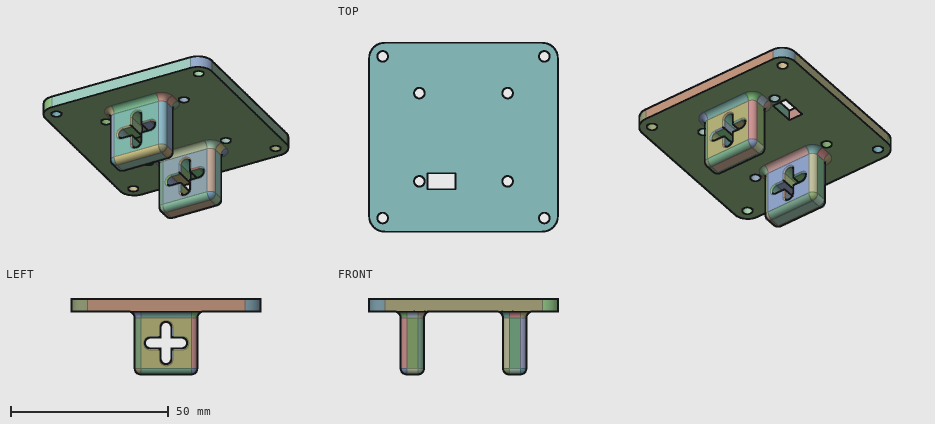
import cadquery as cq

plate_side = 60.0
plate_thickness = 4.0
plate_corner_radius = 5.0

hole_diameter = 3.3
corner_hole_pitch = 51.3
inner_hole_pitch = 28.0

window_length = 8.8
window_width = 5.0
window_x = -7.0
window_y = -inner_hole_pitch / 2

lug_thickness = 7.5
lug_width = 20.0
lug_height = 20.0
lug_gap = 25.0
lug_round = 2.0
lug_offset = (lug_gap + lug_thickness) / 2
lug_positions = (-lug_offset, lug_offset)

slot_width = 3.3
slot_center_distance = 10.0
slot_length = slot_center_distance + slot_width
slot_rim_round = 0.5
cross_z = -lug_height / 2

select_margin = 0.1


def make_plate():
    """Rounded square plate with its underside at Z = 0."""
    return (
        cq.Workplane("XY")
        .rect(plate_side, plate_side)
        .extrude(plate_thickness)
        .edges("|Z")
        .fillet(plate_corner_radius)
    )


def make_lug(x):
    """Block below the plate with rounded upright and bottom edges."""
    return (
        cq.Workplane("XY")
        .center(x, 0)
        .rect(lug_thickness, lug_width)
        .extrude(-lug_height)
        .edges("|Z or <Z")
        .fillet(lug_round)
    )


def add_lugs(body):
    """Join both lugs and blend their roots into the underside of the plate."""
    for x in lug_positions:
        body = body.union(make_lug(x))
    reach_x = lug_offset + lug_thickness / 2 + select_margin
    reach_y = lug_width / 2 + select_margin
    roots = cq.selectors.BoxSelector(
        (-reach_x, -reach_y, -select_margin),
        (reach_x, reach_y, select_margin),
        boundingbox=True,
    )
    return body.edges(roots).fillet(lug_round)


def make_cross(x):
    """Two round-ended slots crossing at right angles, as deep as the lug at x."""
    start_face = cq.Workplane("YZ", origin=(x - lug_thickness / 2, 0, cross_z))
    level_slot = start_face.slot2D(slot_length, slot_width).extrude(lug_thickness)
    upright_slot = start_face.slot2D(slot_length, slot_width, 90).extrude(lug_thickness)
    return level_slot.union(upright_slot)


def round_cross_rim(body, face_x):
    """Round the rim of the cross where it opens onto the lug face at face_x."""
    reach = slot_length / 2 + select_margin
    rim = cq.selectors.BoxSelector(
        (face_x - select_margin, -reach, cross_z - reach),
        (face_x + select_margin, reach, cross_z + reach),
        boundingbox=True,
    )
    return body.edges(rim).fillet(slot_rim_round)


def cut_crosses(body):
    """Cut the cross through each lug and round its rims on both faces."""
    for x in lug_positions:
        body = body.cut(make_cross(x))
        body = round_cross_rim(body, x - lug_thickness / 2)
        body = round_cross_rim(body, x + lug_thickness / 2)
    return body


def cut_screw_holes(body):
    """Cut both square patterns of screw holes through the plate."""
    for pitch in (corner_hole_pitch, inner_hole_pitch):
        holes = (
            cq.Workplane("XY")
            .rect(pitch, pitch, forConstruction=True)
            .vertices()
            .circle(hole_diameter / 2)
            .extrude(plate_thickness)
        )
        body = body.cut(holes)
    return body


def cut_window(body):
    """Cut the rectangular window through the plate."""
    window = (
        cq.Workplane("XY")
        .center(window_x, window_y)
        .rect(window_length, window_width)
        .extrude(plate_thickness)
    )
    return body.cut(window)


part = add_lugs(make_plate())
part = cut_crosses(part)
part = cut_screw_holes(part)
result = cut_window(part)